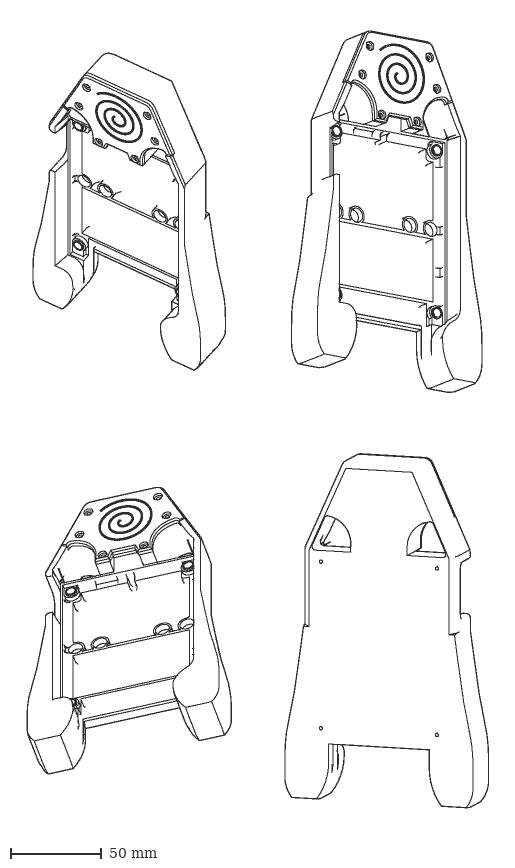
import cadquery as cq
import math


total_width = 110.95
total_height = 191.0
total_depth = 26.0
selection_margin = 0.1

rail_half_width = 44.6
shoulder_z = 140.8
head_top_half_width = 21.8
head_corner_radius = 5.0
back_chamfer = 4.0
back_edge_radius = 4.0
front_chamfer = 1.0
strut_thickness = 4.5
plate_bottom_z = 32.0
head_slope = (rail_half_width - head_top_half_width) / (total_height - shoulder_z)
head_tilt = math.atan(head_slope)

handle_top_z = 98.0
handle_inner_x = 28.4
handle_outer_x = total_width / 2
handle_root_x = 36.0
handle_overlap = 4.0
grip_widest_top_z = 22.0
grip_widest_bottom_z = 12.0
grip_flank_points = [(-47.3, 78.8), (-50.6, 56.9), (-54.6, 37.0), (-handle_outer_x, grip_widest_top_z)]
grip_flank_tangents = [(-0.1, -1), (0, -1)]
grip_tip_outer_x = -51.0
grip_tip_inner_x = -35.9
grip_inner_arc = [(-30.4, 10.0), (-handle_inner_x, 21.0)]
front_taper_depth = 1.3
back_taper_depth = 5.2
front_taper_inset = 0.3
back_taper_inset = 0.8

opening_bottom_z = 140.2
opening_arc_x = 31.4
opening_arc_z = 144.9
opening_arc_radius = 15.0
opening_corner_radius = 2.0

lid_thickness = 3.0
lid_end_z = 159.2
lid_tab_half_width = opening_arc_x - opening_arc_radius
lid_notch_half_width = 6.4
lid_notch_top_z = 144.7
lid_notch_flare = 1.8
passage_half_width = 8.5
passage_top_z = 152.0
lid_screws = [(20.0, 182.0), (25.0, 164.8), (11.9, 143.9)]
lid_hole_diameter = 2.35
lid_head_diameter = 5.0
lid_head_depth = 1.5
pilot_diameter = 1.8
pilot_depth = 8.0

spiral_z = 168.0
spiral_pitch = 5.4
spiral_first_turn = 0.39
spiral_last_turn = 3.375
spiral_width = 0.7
spiral_depth = 0.5
spiral_points_per_turn = 12

bay_half_width = 40.6
bay_depth = 11.0
bay_wall_draft = 1.3
bay_left_end_z = 31.7
bay_bottom_z = 18.0
bay_left_hook_start_x = -35.0
bay_left_hook = [(-31.0, 29.5), (-29.2, 24.0)]
bay_right_rise_z = 22.5
bay_right_lower_arc = [(31.5, 29.4), (36.5, 33.7)]
bay_right_upper_arc = [(39.6, 37.0), (bay_half_width, 41.0)]
strut_foot_z = 146.0

ledge_half_width = 37.9
ledge_bottom_z = 32.8
ledge_top_z = 138.6
ledge_y = 16.0
cove_radius = 2.7
cove_left_spans = [(45.6, 86.6), (91.1, 128.9)]
cove_right_spans = [(45.6, 62.3), (67.4, 86.6), (91.1, 125.2)]
cove_top_spans = [(-30.1, -20.0), (-7.6, -2.2), (2.2, 30.1)]

pocket_half_width = 33.4
pocket_floor_y = 21.9
pocket_fillet = 1.2
bar_fillet = 1.9
bar_area_top_z = 95.0
upper_pocket_top_z = 134.6
upper_pocket_bottom_z = 85.6
lower_pocket_top_z = 83.6
lower_pocket_bottom_z = 47.6
corner_pad_x = 28.8
corner_pad_z = 127.8
corner_pad_radius = 2.0
top_slot_half_width = 2.0
channel_half_width = 29.0
channel_fillet = 1.0
channel_top_z = 45.9
channel_bottom_z = 34.2
lip_height = 1.2

seat_xs = [-32.0, -17.9, 17.9, 32.0]
seat_z = 89.0
seat_diameter = 8.0
seat_boss_diameter = 10.2
seat_depth = 4.0

boss_x = 33.7
boss_bottom_z = 40.6
boss_top_z = 133.9
boss_pad_radius = 4.3
boss_pad_front_y = 13.5
boss_pad_inner_x = 30.8
boss_diameter = 6.3
boss_front_y = 12.5
boss_hole_diameter = 1.8
boss_sink_diameter = 5.0
boss_sink_depth = 4.0

notch_bottom_z = 104.8
notch_top_z = 135.2
notch_floor_y = 15.7
notch_wall_x = 39.3
notch_corner_radius = 2.9
notch_outer_fillet = 2.4
notch_inner_fillet = 1.8


def front_plane(y):
    """Sketch plane at depth y with sketch axes X and Z; negative extrusion runs to the back."""
    return cq.Workplane(cq.Plane(origin=(0, y, 0), xDir=(1, 0, 0), normal=(0, -1, 0)))


def block(x0, x1, z0, z1, y0, y1):
    """Box between two corners."""
    return cq.Workplane("XY").box(x1 - x0, y1 - y0, z1 - z0, centered=False).translate((x0, y0, z0))


def cylinder(x, z, diameter, y0, y1):
    """Round bar along Y."""
    return front_plane(y0).center(x, z).circle(diameter / 2).extrude(y0 - y1)


def edge_box(x0, x1, z0, z1, y):
    """Selector for edges centred in a thin slab at depth y."""
    return cq.selectors.BoxSelector(
        (x0 - selection_margin, y - selection_margin, z0 - selection_margin),
        (x1 + selection_margin, y + selection_margin, z1 + selection_margin),
    )


def side_x(z):
    """Half width of the head at height z."""
    return rail_half_width - head_slope * (z - shoulder_z)


def upper_body():
    """Head and rails in one block, with its back edges bevelled and rounded."""
    outline = [
        (-rail_half_width, plate_bottom_z),
        (-rail_half_width, shoulder_z),
        (-head_top_half_width, total_height),
        (head_top_half_width, total_height),
        (rail_half_width, shoulder_z),
        (rail_half_width, plate_bottom_z),
    ]
    body = front_plane(0).polyline(outline).close().extrude(-total_depth)
    body = body.edges("|Y and >Z").fillet(head_corner_radius)
    body = body.faces(">Y").edges("not <Z").chamfer(back_chamfer)
    bevel_edges = edge_box(
        -rail_half_width, rail_half_width,
        plate_bottom_z + back_chamfer, total_height,
        total_depth - back_chamfer,
    )
    return body.edges(bevel_edges).fillet(back_edge_radius)


def handle():
    """Left handle with its bulged grip end, drawn in slightly towards its front and back."""
    def outline(y):
        return (
            front_plane(y)
            .moveTo(-rail_half_width, handle_top_z)
            .spline(grip_flank_points, tangents=grip_flank_tangents, includeCurrent=True)
            .lineTo(-handle_outer_x, grip_widest_bottom_z)
            .tangentArcPoint((grip_tip_outer_x, 0), relative=False)
            .lineTo(grip_tip_inner_x, 0)
            .threePointArc(*grip_inner_arc)
            .lineTo(-handle_inner_x, plate_bottom_z + handle_overlap / 2)
            .lineTo(-handle_root_x, plate_bottom_z + handle_overlap)
            .lineTo(-handle_root_x, handle_top_z)
            .close()
        )

    front_angle = math.degrees(math.atan(front_taper_inset / front_taper_depth))
    back_angle = math.degrees(math.atan(back_taper_inset / back_taper_depth))
    back_start_y = total_depth - back_taper_depth
    middle = outline(front_taper_depth).extrude(front_taper_depth - back_start_y)
    front = outline(front_taper_depth).extrude(front_taper_depth, taper=front_angle)
    back = outline(back_start_y).extrude(-back_taper_depth, taper=back_angle)
    return middle.union(front).union(back)


def opening():
    """Left see-through opening: a disc cut off by the strut and by the top of the bay."""
    strut_dx = strut_thickness / math.cos(head_tilt)
    top_z = total_height
    wedge = (
        front_plane(0)
        .polyline([
            (-side_x(opening_bottom_z) + strut_dx, opening_bottom_z),
            (-side_x(top_z) + strut_dx, top_z),
            (0, top_z),
            (0, opening_bottom_z),
        ])
        .close()
        .extrude(-total_depth)
    )
    disc = (
        cylinder(-opening_arc_x, opening_arc_z, 2 * opening_arc_radius, 0, total_depth)
        .union(block(-opening_arc_x, -lid_tab_half_width, opening_bottom_z, opening_arc_z, 0, total_depth))
        .union(block(-rail_half_width, -opening_arc_x, opening_bottom_z, opening_arc_z, 0, total_depth))
    )
    shape = wedge.intersect(disc)
    return shape.edges("|Y").edges("<X or >Z").fillet(opening_corner_radius)


def lid_region():
    """Area of the head that the lid covers, as a slab of the lid's thickness."""
    outer_x = side_x(lid_end_z)
    reach = 2 * strut_thickness
    inner_x = outer_x - reach * math.cos(head_tilt)
    inner_z = lid_end_z - reach * math.sin(head_tilt)
    notch_x = lid_notch_half_width
    right = [
        (notch_x, lid_notch_top_z),
        (notch_x + lid_notch_flare, opening_bottom_z),
        (inner_x, opening_bottom_z),
        (inner_x, inner_z),
        (outer_x, lid_end_z),
        (rail_half_width, lid_end_z),
        (rail_half_width, total_height),
    ]
    left = [(-x, z) for x, z in reversed(right)]
    return front_plane(0).polyline(right + left).close().extrude(-lid_thickness)


def spiral_groove():
    """Band of constant width along an Archimedean spiral."""
    steps = round((spiral_last_turn - spiral_first_turn) * spiral_points_per_turn)

    def edge_points(offset):
        points = []
        for i in range(steps + 1):
            turn = spiral_first_turn + (spiral_last_turn - spiral_first_turn) * i / steps
            radius = spiral_pitch * turn + offset
            angle = 2 * math.pi * turn
            points.append((radius * math.cos(angle), spiral_z + radius * math.sin(angle)))
        return points

    inner = edge_points(-spiral_width / 2)
    outer = edge_points(spiral_width / 2)[::-1]
    return (
        front_plane(0)
        .moveTo(*inner[0])
        .spline(inner[1:], includeCurrent=True)
        .lineTo(*outer[0])
        .spline(outer[1:], includeCurrent=True)
        .close()
        .extrude(-spiral_depth)
    )


def bay():
    """Open space between the rails, in front of the plate."""
    strut_x = side_x(strut_foot_z) - strut_thickness / math.cos(head_tilt)
    outline = (
        front_plane(0)
        .moveTo(-strut_x, opening_bottom_z)
        .lineTo(-strut_x, strut_foot_z)
        .lineTo(-bay_half_width, opening_bottom_z)
        .lineTo(-bay_half_width, bay_left_end_z)
        .lineTo(bay_left_hook_start_x, bay_left_end_z)
        .threePointArc(*bay_left_hook)
        .lineTo(-handle_inner_x, bay_bottom_z)
        .lineTo(handle_inner_x, bay_bottom_z)
        .lineTo(handle_inner_x, bay_right_rise_z)
        .threePointArc(*bay_right_lower_arc)
        .threePointArc(*bay_right_upper_arc)
        .lineTo(bay_half_width, opening_bottom_z)
        .lineTo(strut_x, strut_foot_z)
        .lineTo(strut_x, opening_bottom_z)
        .close()
    )
    space = outline.extrude(-bay_depth)
    for side in (-1, 1):
        strip = (
            cq.Workplane("XY", origin=(0, 0, bay_left_end_z))
            .polyline([
                (side * bay_half_width, bay_depth),
                (side * bay_half_width, 0),
                (side * (bay_half_width - bay_wall_draft), bay_depth),
            ])
            .close()
            .extrude(opening_bottom_z - bay_left_end_z)
        )
        space = space.cut(strip)
    return space


def upper_pocket():
    """Upper pocket with padded corners and seat bosses left standing, rounded along its floor."""
    pocket = block(
        -pocket_half_width, pocket_half_width,
        upper_pocket_bottom_z, upper_pocket_top_z,
        ledge_y, pocket_floor_y,
    )
    slot = block(
        -top_slot_half_width, top_slot_half_width, upper_pocket_top_z, ledge_top_z, ledge_y, pocket_floor_y
    )
    pocket = pocket.union(slot)
    for side in (-1, 1):
        x0, x1 = sorted((side * corner_pad_x, side * rail_half_width))
        pad = block(x0, x1, corner_pad_z, ledge_top_z, ledge_y, pocket_floor_y)
        pad = pad.edges("|Y and <Z").edges(">X" if side < 0 else "<X").fillet(corner_pad_radius)
        pocket = pocket.cut(pad)
    for x in seat_xs:
        pocket = pocket.cut(cylinder(x, seat_z, seat_boss_diameter, ledge_y, pocket_floor_y))
    bar_area = edge_box(
        bar_fillet - pocket_half_width, pocket_half_width - bar_fillet, 0, bar_area_top_z, pocket_floor_y
    )
    side_area = edge_box(
        -pocket_half_width, pocket_half_width, bar_area_top_z, ledge_top_z, pocket_floor_y
    )
    return pocket.edges(bar_area).fillet(bar_fillet).edges(side_area).fillet(pocket_fillet)


def lower_pocket():
    """Plain pocket under the bar."""
    pocket = block(
        -pocket_half_width, pocket_half_width,
        lower_pocket_bottom_z, lower_pocket_top_z,
        ledge_y, pocket_floor_y,
    )
    return pocket.faces(">Y").edges().fillet(pocket_fillet)


def bottom_channel():
    """Channel along the lower edge of the plate, with only a low lip below it."""
    channel = block(
        -channel_half_width, channel_half_width, channel_bottom_z, channel_top_z, bay_depth, pocket_floor_y
    )
    channel = channel.faces(">Y").edges().fillet(channel_fillet)
    lip_y = pocket_floor_y - lip_height
    lip_space = block(-channel_half_width, channel_half_width, 0, channel_bottom_z, bay_depth, lip_y)
    return channel.union(lip_space)


def boss_pad(side, z):
    """Raised pad in a ledge corner, round towards the middle, with the boss ring on it."""
    corner_z = ledge_bottom_z if z < seat_z else ledge_top_z
    z0, z1 = sorted((z, corner_z))
    x0, x1 = sorted((side * boss_pad_inner_x, side * ledge_half_width))
    pad = block(x0, x1, z0, z1, boss_pad_front_y, ledge_y)
    pad = pad.union(cylinder(side * boss_x, z, 2 * boss_pad_radius, boss_pad_front_y, ledge_y))
    return pad.union(cylinder(side * boss_x, z, boss_diameter, boss_front_y, ledge_y))


def boss_hole(side, z):
    """Through hole with a conical sink."""
    sink = cq.Solid.makeCone(
        boss_sink_diameter / 2,
        boss_hole_diameter / 2,
        boss_sink_depth,
        pnt=cq.Vector(side * boss_x, boss_front_y, z),
        dir=cq.Vector(0, 1, 0),
    )
    hole = cylinder(side * boss_x, z, boss_hole_diameter, boss_front_y, total_depth)
    return hole.union(cq.Workplane(obj=sink))


def cove(length):
    """Concave corner strip along Z, its corner on the Z axis, filling +X and -Y."""
    square = block(0, cove_radius, 0, length, -cove_radius, 0)
    rod = cq.Workplane("XY").center(cove_radius, -cove_radius).circle(cove_radius).extrude(length)
    return square.cut(rod)


def coves():
    """Concave strips around the ledge, interrupted by gaps."""
    strips = []
    for z0, z1 in cove_left_spans:
        strips.append(cove(z1 - z0).translate((-ledge_half_width, ledge_y, z0)))
    for z0, z1 in cove_right_spans:
        strips.append(cove(z1 - z0).mirror("YZ").translate((ledge_half_width, ledge_y, z0)))
    for x0, x1 in cove_top_spans:
        strip = cove(x1 - x0).rotate((0, 0, 0), (0, 1, 0), 90)
        strips.append(strip.translate((x0, ledge_y, ledge_top_z)))
    return strips


def left_notch():
    """Side opening through the left rail, rounded where its floor meets the plate."""
    slot = block(-rail_half_width, -notch_wall_x, notch_bottom_z, notch_top_z, -1, notch_floor_y)
    slot = slot.edges("|X and >Y").fillet(notch_corner_radius)
    return slot.faces(">X").edges("not <Y").fillet(notch_inner_fillet)


left_handle = handle()
left_opening = opening()
openings = left_opening.union(left_opening.mirror("YZ"))

housing = upper_body().faces("<Y").edges("(not <Z) and (not |Z)").chamfer(front_chamfer)
housing = housing.union(left_handle).union(left_handle.mirror("YZ"))
housing = housing.cut(openings).cut(bay()).cut(lid_region())
housing = housing.cut(
    block(-passage_half_width, passage_half_width, opening_bottom_z, passage_top_z, 0, bay_depth)
)

housing = housing.cut(
    block(-ledge_half_width, ledge_half_width, ledge_bottom_z, ledge_top_z, bay_depth, ledge_y)
)
for strip in coves():
    housing = housing.union(strip)
for side in (-1, 1):
    for z in (boss_bottom_z, boss_top_z):
        housing = housing.union(boss_pad(side, z)).cut(boss_hole(side, z))
housing = housing.cut(upper_pocket()).cut(lower_pocket()).cut(bottom_channel())
for x in seat_xs:
    housing = housing.cut(cylinder(x, seat_z, seat_diameter, ledge_y, ledge_y + seat_depth))

housing = housing.cut(left_notch())
notch_mouth = cq.selectors.BoxSelector(
    (-rail_half_width - selection_margin, front_chamfer, notch_bottom_z - selection_margin),
    (-rail_half_width + selection_margin, notch_floor_y + selection_margin, notch_top_z + selection_margin),
)
housing = housing.edges(notch_mouth).fillet(notch_outer_fillet)

lid = upper_body().intersect(lid_region()).cut(openings)
lid = lid.faces("<Y").edges().chamfer(front_chamfer)
lid = lid.cut(spiral_groove())
for x, z in lid_screws:
    for side in (-1, 1):
        lid = lid.cut(cylinder(side * x, z, lid_hole_diameter, 0, lid_thickness))
        lid = lid.cut(cylinder(side * x, z, lid_head_diameter, 0, lid_head_depth))
        pilot = cylinder(side * x, z, pilot_diameter, lid_thickness, lid_thickness + pilot_depth)
        housing = housing.cut(pilot)

result = cq.Compound.makeCompound([*housing.vals(), *lid.vals()])